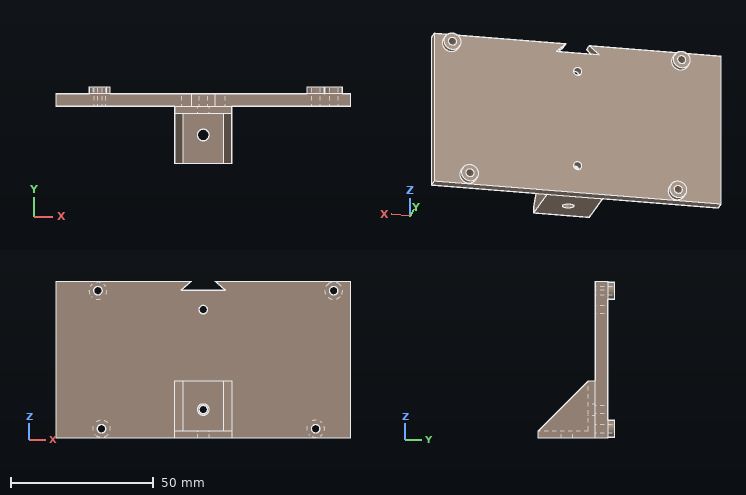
import cadquery as cq

plate_width = 103.2
plate_height = 54.9
plate_thickness = 4.4

centre_x = 0.0

notch_top_width = 8.4
notch_bottom_width = 15.4
notch_depth = 3.1

plate_hole_diameter = 2.9
locating_hole_z = 45.0
standoff_diameter = 6.1
standoff_height = 2.4
standoff_centres = [(-36.8, 51.6), (45.6, 51.6), (-35.6, 3.3), (39.3, 3.3)]

bracket_size = 20.0
bracket_wall = 2.5
gusset_thickness = 3.0
bracket_hole_diameter = 4.0
bracket_hole_offset = bracket_size / 2


def cylinder_along_y(diameter, x, z, y_start, length):
    """Cylinder that runs from y_start toward +Y."""
    return cq.Workplane(cq.Solid.makeCylinder(
        diameter / 2, length, cq.Vector(x, y_start, z), cq.Vector(0, 1, 0)))


def make_notch():
    """Dovetail prism, wider at its bottom, across the plate thickness."""
    floor_z = plate_height - notch_depth
    return (
        cq.Workplane("XZ")
        .polyline([
            (centre_x - notch_bottom_width / 2, floor_z),
            (centre_x + notch_bottom_width / 2, floor_z),
            (centre_x + notch_top_width / 2, plate_height),
            (centre_x - notch_top_width / 2, plate_height),
        ])
        .close()
        .extrude(-plate_thickness)
    )


def make_plate():
    plate = cq.Workplane().box(
        plate_width, plate_thickness, plate_height, centered=(True, False, False))
    plate = plate.cut(make_notch())

    for x, z in standoff_centres:
        plate = plate.union(
            cylinder_along_y(standoff_diameter, x, z, plate_thickness, standoff_height))

    fixing_centres = [(centre_x, locating_hole_z), (centre_x, bracket_hole_offset)]
    for x, z in standoff_centres + fixing_centres:
        plate = plate.cut(
            cylinder_along_y(plate_hole_diameter, x, z, 0, plate_thickness + standoff_height))
    return plate


def make_bracket():
    bracket = (
        cq.Workplane("YZ", origin=(centre_x, 0, 0))
        .polyline([
            (0, 0),
            (-bracket_size, 0),
            (-bracket_size, bracket_wall),
            (-bracket_wall, bracket_size),
            (0, bracket_size),
        ])
        .close()
        .extrude(bracket_size / 2, both=True)
    )

    pocket_width = bracket_size - 2 * gusset_thickness
    pocket_size = bracket_size - bracket_wall
    pocket = (
        cq.Workplane()
        .box(pocket_width, pocket_size, pocket_size, centered=(True, False, False))
        .translate((centre_x, -bracket_size, bracket_wall))
    )
    bracket = bracket.cut(pocket)

    wall_hole = cylinder_along_y(
        bracket_hole_diameter, centre_x, bracket_hole_offset, -bracket_wall, bracket_wall)
    floor_hole = (
        cq.Workplane("XY", origin=(centre_x, -bracket_hole_offset, 0))
        .circle(bracket_hole_diameter / 2)
        .extrude(bracket_wall)
    )
    return bracket.cut(wall_hole).cut(floor_hole)


plate = make_plate()
bracket = make_bracket()
result = cq.Compound.makeCompound([plate.val(), bracket.val()])